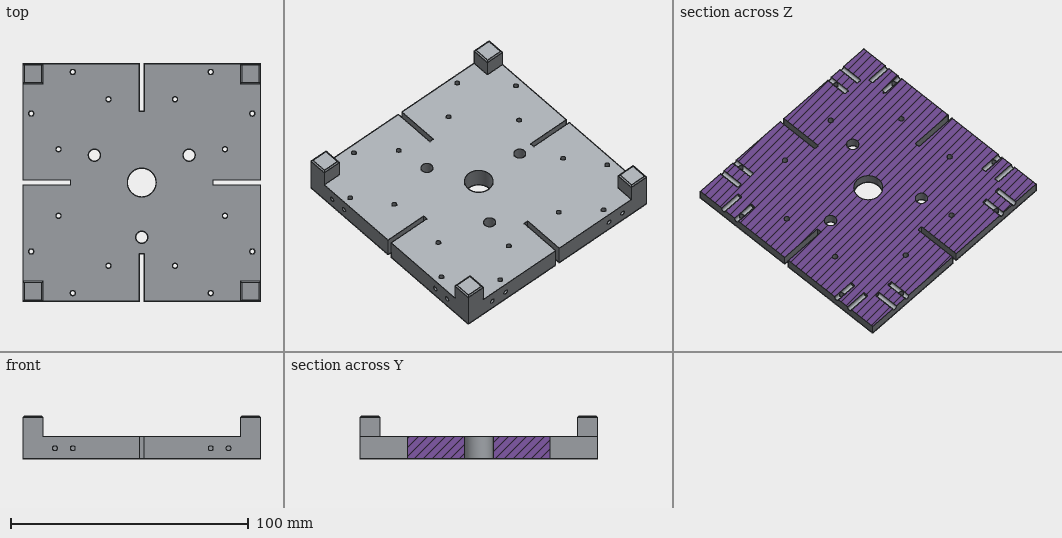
import cadquery as cq

plate_side = 100.0
plate_height = 9.5
half_side = plate_side / 2

overall_height = 18.0
post_side = 8.5
post_chamfer = 0.625

slot_width = 2.0
slot_length = 20.0

bore_diameter = 12.0
ring_hole_diameter = 5.0
ring_radius = 23.0
ring_hole_count = 3
ring_start_angle = -90.0

screw_diameter = 2.05
outer_screw_offset = 29.0
outer_screw_edge_distance = 3.5
inner_screw_offset = 14.0
inner_screw_edge_distance = 15.0
edge_hole_offsets = (outer_screw_offset, 36.5)
edge_hole_height = 4.5
edge_hole_depth = 10.0

side_angles = (0, 90, 180, 270)


def on_each_side(tool):
    """Combine four copies of a tool, one turned to each side of the plate."""
    copies = cq.Workplane("XY")
    for angle in side_angles:
        copies = copies.add(tool.rotate((0, 0, 0), (0, 0, 1), angle))
    return copies.combine()


def make_plate():
    return cq.Workplane("XY").box(plate_side, plate_side, plate_height, centered=(True, True, False))


def make_posts():
    """Full-height square posts flush with the plate corners, chamfered on top."""
    post = (
        cq.Workplane("XY")
        .box(post_side, post_side, overall_height, centered=(True, True, False))
        .faces(">Z")
        .chamfer(post_chamfer)
    )
    center = half_side - post_side / 2
    return on_each_side(post.translate((center, center, 0)))


def make_slots():
    slot = (
        cq.Workplane("XY")
        .box(slot_width, slot_length, plate_height, centered=(True, False, False))
        .translate((0, -half_side, 0))
    )
    return on_each_side(slot)


def make_center_holes():
    bore = cq.Workplane("XY").circle(bore_diameter / 2).extrude(plate_height)
    ring = (
        cq.Workplane("XY")
        .polarArray(ring_radius, ring_start_angle, 360, ring_hole_count)
        .circle(ring_hole_diameter / 2)
        .extrude(plate_height)
    )
    return bore.union(ring)


def make_vertical_screw_holes():
    """Two mirrored pairs of through holes along each side."""
    outer_y = outer_screw_edge_distance - half_side
    inner_y = inner_screw_edge_distance - half_side
    centers = []
    for sign in (-1, 1):
        centers.append((sign * outer_screw_offset, outer_y))
        centers.append((sign * inner_screw_offset, inner_y))
    holes = cq.Workplane("XY").pushPoints(centers).circle(screw_diameter / 2).extrude(plate_height)
    return on_each_side(holes)


def make_edge_holes():
    """Blind horizontal holes drilled into each side face."""
    centers = [(sign * offset, edge_hole_height) for sign in (-1, 1) for offset in edge_hole_offsets]
    holes = (
        cq.Workplane("XZ", origin=(0, -half_side, 0))
        .pushPoints(centers)
        .circle(screw_diameter / 2)
        .extrude(-edge_hole_depth)
    )
    return on_each_side(holes)


result = (
    make_plate()
    .union(make_posts())
    .cut(make_slots())
    .cut(make_center_holes())
    .cut(make_vertical_screw_holes())
    .cut(make_edge_holes())
)